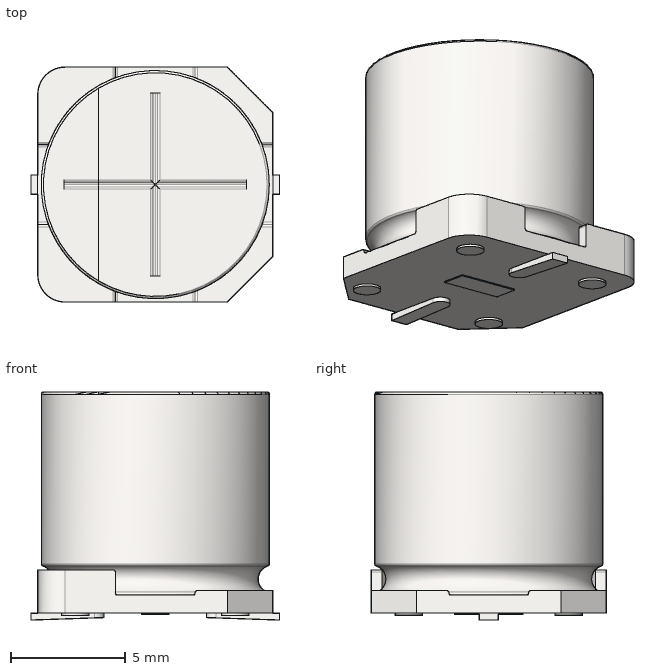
import cadquery as cq
import math

total_height = 10.0
base_bottom_z = 0.3
edge_round = 0.1

base_side = 10.3
corner_radius = 1.2
corner_chamfer = 2.0
floor_thickness = 0.8
tall_post_height = 1.9
low_post_height = floor_thickness + 2 * edge_round
notch_width = 3.5

foot_diameter = 1.2
foot_height = 0.1
foot_offset = 3.5
pad_width = 1.2
pad_length = 3.0
pad_height = 0.049

can_diameter = 10.0
neck_section_radius = 0.6
neck_min_radius = 4.51
neck_height = 1.49

cross_length = 8.0
groove_width = 0.4
groove_depth = 0.1

mark_edge_x = -2.5
mark_thickness = 0.3

lead_tip_x = 5.45
lead_inner_x = 2.23
lead_width = 0.85
lead_inner_thickness = 0.2

half_side = base_side / 2
floor_z = base_bottom_z + floor_thickness
can_radius = can_diameter / 2
can_flat_radius = can_radius - edge_round
arc_mid = edge_round * math.sqrt(0.5)


def make_notch(post_height, length):
    """Notch cutter along +X from the axis: concave floor corners and convex lips at the posts."""
    wall = notch_width / 2
    inner = wall - edge_round
    lip = wall + edge_round
    top = base_bottom_z + post_height
    low_round = floor_z + edge_round
    high_round = top - edge_round
    half = (
        cq.Workplane("YZ")
        .moveTo(0, floor_z)
        .lineTo(inner, floor_z)
        .threePointArc((inner + arc_mid, low_round - arc_mid), (wall, low_round))
    )
    if post_height > low_post_height:
        half = half.lineTo(wall, high_round)
    half = (
        half.threePointArc((lip - arc_mid, high_round + arc_mid), (lip, top))
        .lineTo(0, top)
        .close()
        .extrude(length)
    )
    return half.union(half.mirror("XZ"))


def make_base():
    """Square base with four corner posts around a round seat for the can."""
    block = cq.Workplane("XY", origin=(0, 0, base_bottom_z)).rect(base_side, base_side)
    block = block.extrude(tall_post_height)
    block = block.edges("|Z and <X").fillet(corner_radius)
    block = block.edges("|Z and >X").chamfer(corner_chamfer)

    low_top = base_bottom_z + low_post_height
    block = block.cut(
        cq.Workplane("XY", origin=(half_side / 2, 0, low_top))
        .rect(half_side, base_side)
        .extrude(total_height)
    )

    tall_notch = make_notch(tall_post_height, half_side)
    low_notch = make_notch(low_post_height, half_side)
    block = block.cut(low_notch)
    block = block.cut(tall_notch.rotate((0, 0, 0), (0, 0, 1), 180))
    tall_side = cq.Workplane("XY").box(base_side, 2 * base_side, 2 * total_height)
    tall_side = tall_side.translate((-half_side, 0, 0))
    for angle in (90, -90):
        tall_part = tall_notch.rotate((0, 0, 0), (0, 0, 1), angle).intersect(tall_side)
        low_part = low_notch.rotate((0, 0, 0), (0, 0, 1), angle).cut(tall_side)
        block = block.cut(tall_part).cut(low_part)

    seat = cq.Workplane("XY", origin=(0, 0, floor_z)).circle(can_radius).extrude(total_height)
    block = block.cut(seat)

    underside = cq.Workplane("XY", origin=(0, 0, base_bottom_z))
    feet = (
        underside.rect(2 * foot_offset, 2 * foot_offset, forConstruction=True)
        .vertices()
        .circle(foot_diameter / 2)
        .extrude(-foot_height)
    )
    pad = underside.rect(pad_width, pad_length).extrude(-pad_height)
    return block.union(feet).union(pad)


def make_can_blank():
    """Turned can with a crimped neck groove, its lips rounded, and a rounded top edge."""
    neck_z = base_bottom_z + neck_height
    neck_center_r = neck_min_radius + neck_section_radius
    lip_center_r = can_radius - edge_round
    lip_rise = math.sqrt(
        (neck_section_radius + edge_round) ** 2 - (neck_center_r - lip_center_r) ** 2
    )
    share = neck_section_radius / (neck_section_radius + edge_round)
    touch_r = neck_center_r + (lip_center_r - neck_center_r) * share
    touch_rise = lip_rise * share
    half_turn = math.atan2(lip_rise, neck_center_r - lip_center_r) / 2
    lip_mid_r = lip_center_r + edge_round * math.cos(half_turn)
    lip_mid_rise = lip_rise - edge_round * math.sin(half_turn)

    top_round_z = total_height - edge_round
    return (
        cq.Workplane("XZ")
        .moveTo(0, floor_z)
        .lineTo(can_radius, floor_z)
        .lineTo(can_radius, neck_z - lip_rise)
        .threePointArc((lip_mid_r, neck_z - lip_mid_rise), (touch_r, neck_z - touch_rise))
        .threePointArc((neck_min_radius, neck_z), (touch_r, neck_z + touch_rise))
        .threePointArc((lip_mid_r, neck_z + lip_mid_rise), (can_radius, neck_z + lip_rise))
        .lineTo(can_radius, top_round_z)
        .threePointArc(
            (can_flat_radius + arc_mid, top_round_z + arc_mid), (can_flat_radius, total_height)
        )
        .lineTo(0, total_height)
        .close()
        .revolve(360, (0, 0, 0), (0, 1, 0))
    )


def make_cross():
    """Cutter for the relief cross: two grooves with rounded lips and a rounded bottom."""
    run = groove_width / 4
    fall = groove_depth / 2
    turn = 2 * math.atan2(fall, run)
    arc_radius = run / math.sin(turn)
    mid_run = arc_radius * math.sin(turn / 2)
    mid_fall = arc_radius * (1 - math.cos(turn / 2))

    edge = 2 * run
    bottom = total_height - groove_depth
    middle = total_height - fall
    groove = (
        cq.Workplane("YZ", origin=(-cross_length / 2, 0, 0))
        .moveTo(-edge, total_height)
        .threePointArc((-edge + mid_run, total_height - mid_fall), (-run, middle))
        .threePointArc((-mid_run, bottom + mid_fall), (0, bottom))
        .threePointArc((mid_run, bottom + mid_fall), (run, middle))
        .threePointArc((edge - mid_run, total_height - mid_fall), (edge, total_height))
        .close()
        .extrude(cross_length, clean=False)
    )
    return groove.union(groove.rotate((0, 0, 0), (0, 0, 1), 90), clean=False)


def make_mark_blank():
    """Circle segment inlaid flush with the flat top of the can."""
    disc = (
        cq.Workplane("XY", origin=(0, 0, total_height))
        .circle(can_flat_radius)
        .extrude(-mark_thickness)
    )
    beyond_edge = (
        cq.Workplane("XY", origin=(mark_edge_x + can_radius, 0, 0))
        .rect(can_diameter, can_diameter)
        .extrude(2 * total_height)
    )
    return disc.cut(beyond_edge)


def make_lead(side):
    """Flat lead under the base, thicker at its tip, with a round inner end."""
    bar = (
        cq.Workplane("XZ", origin=(0, lead_width / 2, 0))
        .moveTo(side * lead_tip_x, 0)
        .lineTo(side * lead_tip_x, base_bottom_z)
        .lineTo(side * lead_inner_x, base_bottom_z)
        .lineTo(side * lead_inner_x, base_bottom_z - lead_inner_thickness)
        .close()
        .extrude(lead_width)
    )
    round_radius = lead_width / 2
    round_x = lead_inner_x + round_radius
    outline = (
        cq.Workplane("XY")
        .moveTo(side * lead_tip_x, -round_radius)
        .lineTo(side * round_x, -round_radius)
        .threePointArc((side * lead_inner_x, 0), (side * round_x, round_radius))
        .lineTo(side * lead_tip_x, round_radius)
        .close()
        .extrude(total_height)
    )
    return bar.intersect(outline)


cross = make_cross()
mark_blank = make_mark_blank()

base = make_base().solids()
can = make_can_blank().cut(mark_blank).cut(cross, clean=False).solids()
mark = mark_blank.cut(cross, clean=False).solids()
leads = [make_lead(side).solids() for side in (-1, 1)]

result = cq.Compound.makeCompound(
    [base.val(), can.val(), mark.val(), *[lead.val() for lead in leads]]
)